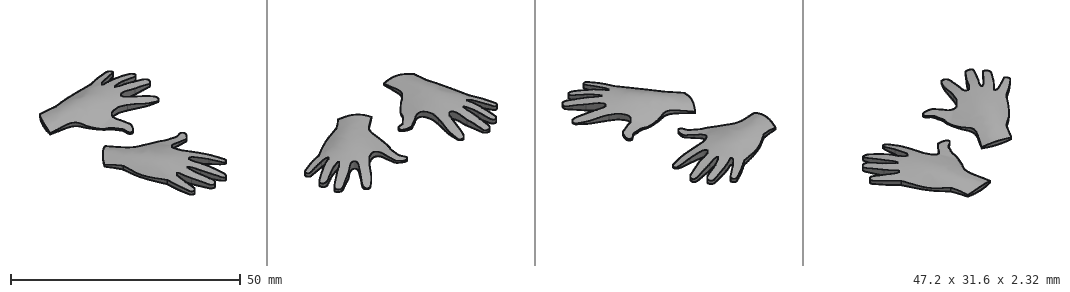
import cadquery as cq

LEFT_WRIST = (-20.56, -10.33)
LEFT_TURN = -18.0
RIGHT_WRIST = (-3.01, -12.66)
RIGHT_TURN = -75.24

WRIST_THUMB_CORNER = (3.44, -1.24)
HEEL_THUMB_SIDE = [(3.53, 1.61), (4.56, 5.39), (6.13, 6.45), (7.61, 7.62), (9.11, 9.12)]
THUMB = [
    (9.85, 10.41), (10.98, 11.42), (11.99, 12.24), (13.80, 12.77), (13.89, 13.02), (11.99, 14.51),
    (9.60, 13.62),
]
THUMB_WEB = [(8.40, 12.94), (7.60, 12.77), (6.77, 13.04), (6.02, 14.95), (6.32, 17.61)]
INDEX_FINGER = [
    (7.61, 22.40), (7.75, 24.16), (7.66, 25.12), (6.72, 25.56), (5.98, 24.67), (5.19, 22.13),
]
INDEX_WEB = [(4.34, 19.65), (3.56, 18.38), (3.15, 18.31), (2.44, 19.70), (2.49, 22.61)]
MIDDLE_FINGER = [(2.09, 26.24), (1.91, 27.14), (0.67, 27.70), (0.12, 25.75), (0.02, 22.09)]
MIDDLE_WEB = [(0.00, 19.60), (-0.22, 19.12), (-0.45, 19.44), (-0.76, 20.28), (-1.26, 22.40)]
RING_FINGER = [
    (-1.53, 25.20), (-1.80, 26.05), (-2.44, 26.43), (-3.29, 25.95), (-3.40, 25.01), (-3.23, 21.20),
]
RING_WEB = [(-2.73, 18.37), (-2.71, 17.74), (-2.78, 17.67), (-3.20, 17.80), (-4.05, 19.05)]
LITTLE_FINGER = [
    (-5.61, 22.46), (-6.07, 23.09), (-6.96, 22.81), (-6.96, 21.60), (-6.10, 18.73), (-5.13, 16.30),
]
PALM_LITTLE_SIDE = [(-5.03, 13.50), (-4.81, 11.00), (-4.37, 8.80), (-3.20, 5.35)]
WRIST_LITTLE_SIDE = [(-3.28, 3.50), (-3.58, 1.16)]
STRETCHES = [
    HEEL_THUMB_SIDE, THUMB, THUMB_WEB, INDEX_FINGER, INDEX_WEB, MIDDLE_FINGER, MIDDLE_WEB,
    RING_FINGER, RING_WEB, LITTLE_FINGER, PALM_LITTLE_SIDE, WRIST_LITTLE_SIDE,
]
OUTLINE_CORNERS = [LITTLE_FINGER[-1], PALM_LITTLE_SIDE[-1], WRIST_LITTLE_SIDE[-1]]
WRIST_ARC_MIDDLE = (-0.09, -0.52)

DOME_X = (-8.0, -3.5, 0.0, 3.5, 8.0, 15.0)
DOME_HEIGHTS = {
    -2.5: (-2.10, -0.40, 0.90, 0.20, -1.50, -3.50),
    4.0: (-0.35, 0.85, 1.60, 1.10, -0.60, -1.05),
    10.0: (-0.80, 1.25, 2.20, 1.85, 0.75, 0.55),
    16.0: (0.45, 1.65, 2.27, 2.05, 1.25, 0.20),
    22.0: (0.80, 1.50, 1.80, 1.65, 0.65, 0.35),
    29.0: (0.55, 0.15, 0.60, -0.40, 0.15, 0.00),
}
DOME_TOLERANCE = 0.001
DOME_DEGREE = 3
BLANK_HEIGHT = 5.0


def direction(start, end):
    """Vector from one outline point to another."""
    return (end[0] - start[0], end[1] - start[1])


def hand_blank(thumb_side):
    """Full-height prism of the hand outline, with the thumb towards +X (1) or -X (-1)."""

    def sided(points):
        return [(thumb_side * x, y) for x, y in points]

    start, arc_middle = sided([WRIST_THUMB_CORNER, WRIST_ARC_MIDDLE])
    corners = sided(OUTLINE_CORNERS)
    stretches = [sided(stretch) for stretch in STRETCHES]
    next_points = [stretch[0] for stretch in stretches[1:]] + [arc_middle]
    outline = cq.Workplane("XY").moveTo(*start)
    leaving = direction(start, stretches[0][0])
    for stretch, next_point in zip(stretches, next_points):
        before_end, end = stretch[-2:]
        is_corner = end in corners
        arriving = direction(before_end, end if is_corner else next_point)
        outline = outline.spline(stretch, tangents=[leaving, arriving], includeCurrent=True)
        leaving = direction(end, next_point) if is_corner else arriving
    return outline.threePointArc(arc_middle, start).close().extrude(BLANK_HEIGHT)


def dome_face(thumb_side):
    """Smooth upper face through the dome heights."""
    grid = [
        [cq.Vector(thumb_side * x, y, z) for x, z in zip(DOME_X, heights)]
        for y, heights in DOME_HEIGHTS.items()
    ]
    return cq.Face.makeSplineApprox(grid, tol=DOME_TOLERANCE, minDeg=DOME_DEGREE, maxDeg=DOME_DEGREE)


def hand(thumb_side, wrist, turn):
    """The part of the blank below the dome, turned about its wrist and moved into position."""
    pieces = hand_blank(thumb_side).val().split(dome_face(thumb_side)).Solids()
    body = min(pieces, key=lambda piece: piece.Center().z)
    return cq.Workplane(body).rotate((0, 0, 0), (0, 0, 1), turn).translate(wrist)


left_hand = hand(1, LEFT_WRIST, LEFT_TURN)
right_hand = hand(-1, RIGHT_WRIST, RIGHT_TURN)

result = cq.Compound.makeCompound([left_hand.val(), right_hand.val()])